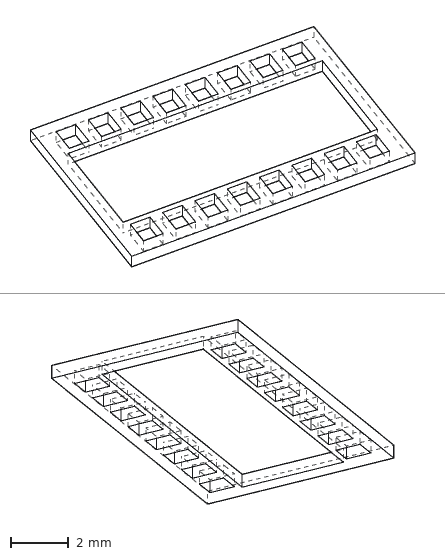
import cadquery as cq

frame_width = 7.37
frame_length = 11.15
thickness = 0.5

window_width = 4.0
window_length = 10.0

holes_per_row = 8
hole_pitch = 1.27
row_spacing = 5.4
hole_width = 0.96
hole_length = 0.77


def rectangular_frame():
    """Flat plate with the central window cut through it."""
    plate = cq.Workplane("XY").rect(frame_width, frame_length).extrude(thickness)
    window = cq.Workplane("XY").rect(window_width, window_length).extrude(thickness)
    return plate.cut(window)


def side_holes():
    """Cutters for both rows of rectangular through holes."""
    return (
        cq.Workplane("XY")
        .rarray(row_spacing, hole_pitch, 2, holes_per_row)
        .rect(hole_width, hole_length)
        .extrude(thickness)
    )


result = rectangular_frame().cut(side_holes())